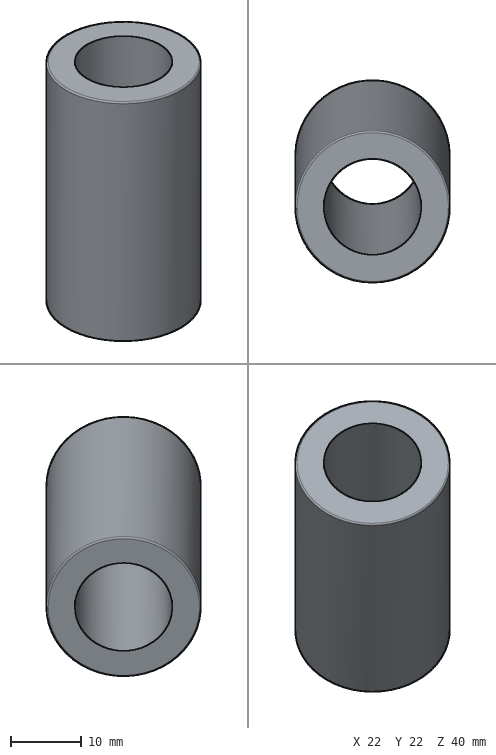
import cadquery as cq

outer_diameter = 22.0
bore_diameter = 13.84
length = 40.0
edge_radius = 0.25


def sleeve_body():
    """Solid cylinder standing on the XY plane, with both outer rims rounded."""
    cylinder = cq.Workplane("XY").circle(outer_diameter / 2).extrude(length)
    return cylinder.faces("<Z or >Z").edges().fillet(edge_radius)


def bore():
    """Plain cylinder that runs the full length of the sleeve."""
    return cq.Workplane("XY").circle(bore_diameter / 2).extrude(length)


result = sleeve_body().cut(bore())